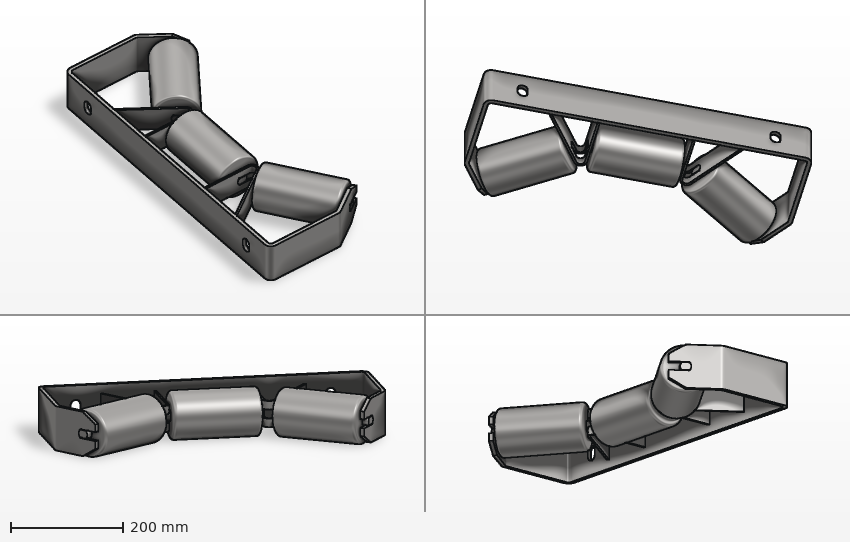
import cadquery as cq
import math

frame_length = 600.0
frame_height = 81.0
frame_wall = 8.0
frame_bend = 14.0
arm_reach = 30.0
tip_chamfer_along = 30.5
tip_chamfer_high = 18.0
mount_x = 231.5
mount_width = 18.5
mount_height = 27.5

bracket_height = 48.0
bracket_wall = 4.0
bracket_bend = 12.0

roller_diameter = 89.0
roller_length = 161.0
roller_rounding = 6.0
shaft_diameter = 20.5
shaft_flats = 14.5
shoulder = 85.0
middle_roller_y = 101.0
side_roller_x = 185.5
side_roller_y = 160.0
tilt = 35.0

slot_width = 16.0

cos_tilt = math.cos(math.radians(tilt))
sin_tilt = math.sin(math.radians(tilt))
beyond_shaft = 4 * shoulder


def bent_strip(outer, wall, bend, height):
    """Strip whose outside follows the points in `outer`; the wall lies to its left."""
    normals = []
    for (x0, y0), (x1, y1) in zip(outer, outer[1:]):
        run = math.hypot(x1 - x0, y1 - y0)
        normals.append(((y0 - y1) / run, (x1 - x0) / run))
    inner = []
    for i, (x, y) in enumerate(outer):
        ax, ay = normals[max(i - 1, 0)]
        bx, by = normals[min(i, len(normals) - 1)]
        mitre = wall / (1 + ax * bx + ay * by)
        inner.append((x + mitre * (ax + bx), y + mitre * (ay + by)))
    strip = (
        cq.Workplane("XY")
        .polyline(outer + inner[::-1])
        .close()
        .extrude(height / 2, both=True)
    )
    for corners, radius in ((outer, bend), (inner, bend - wall)):
        for x, y in corners[1:-1]:
            edge = cq.selectors.NearestToPointSelector((x, y, 0))
            strip = strip.edges("|Z").edges(edge).fillet(radius)
    return strip


def at_side_roller(shape):
    """Move a shape built around the origin, with its axis along X, to the left side roller."""
    return shape.rotate((0, 0, 0), (0, 0, 1), -tilt).translate((-side_roller_x, side_roller_y, 0))


def shaft_slot(start, depth, reach):
    """Cutter for a slot that is open toward +Y and seats a shaft lying on the X axis."""
    seat = (
        cq.Workplane("YZ", origin=(start, 0, 0))
        .circle(shaft_diameter / 2)
        .extrude(depth)
        .intersect(cq.Workplane("XY").box(beyond_shaft, shaft_diameter, slot_width))
    )
    opening = (
        cq.Workplane("XY", origin=(start, 0, 0))
        .box(depth, reach, slot_width, centered=(False, False, True))
    )
    return seat.union(opening)


def make_frame():
    arm_face = shoulder + frame_wall
    half = frame_length / 2
    knee_y = side_roller_y + (arm_face - (half - side_roller_x) * cos_tilt) / sin_tilt
    tip_x = -side_roller_x - arm_face * cos_tilt + arm_reach * sin_tilt
    tip_y = side_roller_y + arm_face * sin_tilt + arm_reach * cos_tilt
    left = [(tip_x, tip_y), (-half, knee_y), (-half, 0)]
    right = [(-x, y) for x, y in reversed(left)]
    frame = bent_strip(left + right, frame_wall, frame_bend, frame_height)

    chamfer = (
        cq.Workplane("YZ", origin=(-arm_face, 0, 0))
        .moveTo(arm_reach, frame_height / 2)
        .lineTo(arm_reach - tip_chamfer_along, frame_height / 2)
        .lineTo(arm_reach, frame_height / 2 - tip_chamfer_high)
        .close()
        .extrude(frame_wall)
    )
    slot = shaft_slot(-arm_face, frame_wall, arm_reach)
    for cutter in (chamfer, chamfer.mirror("XY"), slot):
        placed = at_side_roller(cutter)
        frame = frame.cut(placed).cut(placed.mirror("YZ"))

    mounts = (
        cq.Workplane("XZ")
        .pushPoints([(-mount_x, 0), (mount_x, 0)])
        .slot2D(mount_height, mount_width, 90)
        .extrude(-frame_wall)
    )
    return frame.cut(mounts)


def make_bracket():
    """Left bracket: an upright leg and an inclined leg joined by a bend, standing on the frame."""
    apex_y = side_roller_y - (shoulder - (side_roller_x - shoulder) * cos_tilt) / sin_tilt
    foot_y = frame_wall + bracket_wall * sin_tilt
    foot_x = -shoulder - (apex_y - foot_y) * sin_tilt / cos_tilt
    path = [(-shoulder, frame_wall), (-shoulder, apex_y), (foot_x, foot_y)]
    bracket = bent_strip(path, bracket_wall, bracket_bend, bracket_height)

    slot_reach = apex_y - middle_roller_y
    upright_slot = shaft_slot(-shoulder - bracket_bend, bracket_bend, slot_reach)
    inclined_slot = shaft_slot(shoulder, bracket_bend, slot_reach)
    bracket = bracket.cut(upright_slot.translate((0, middle_roller_y, 0)))
    return bracket.cut(at_side_roller(inclined_slot))


def make_roller(end_walls):
    """Roller about the X axis; `end_walls` are the plate thicknesses at its -X and +X ends."""
    roller = (
        cq.Workplane("YZ", origin=(-roller_length / 2, 0, 0))
        .circle(roller_diameter / 2)
        .extrude(roller_length)
        .edges()
        .fillet(roller_rounding)
    )
    shaft = cq.Workplane("YZ").circle(shaft_diameter / 2).extrude(shoulder, both=True)
    left_wall, right_wall = end_walls
    flatted = (
        cq.Workplane("YZ", origin=(-shoulder - left_wall, 0, 0))
        .circle(shaft_diameter / 2)
        .extrude(2 * shoulder + left_wall + right_wall)
        .intersect(cq.Workplane("XY").box(beyond_shaft, shaft_diameter, shaft_flats))
    )
    return roller.union(shaft).union(flatted)


frame = make_frame()
left_bracket = make_bracket()
brackets = [left_bracket, left_bracket.mirror("YZ")]
middle_roller = make_roller((bracket_wall, bracket_wall)).translate((0, middle_roller_y, 0))
left_roller = at_side_roller(make_roller((frame_wall, bracket_wall)))
rollers = [middle_roller, left_roller, left_roller.mirror("YZ")]

result = cq.Compound.makeCompound(
    [frame.val()] + [body.val() for body in brackets + rollers]
)